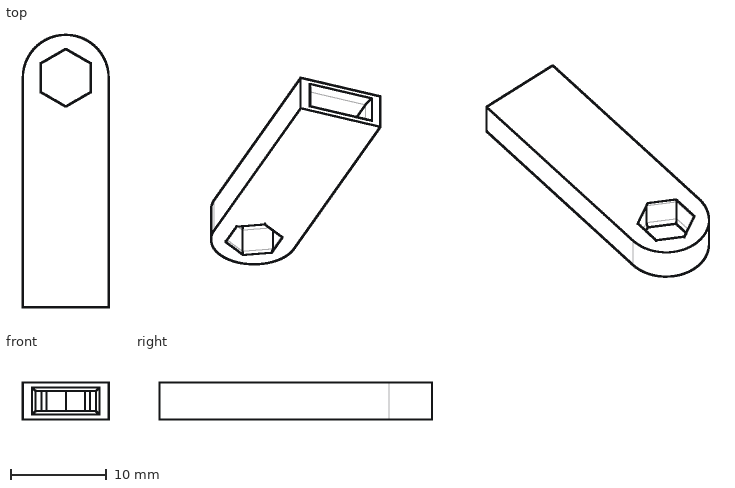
import cadquery as cq
import math

body_width = 9.0
straight_length = 24.0
thickness = 3.9
end_radius = body_width / 2
open_end_y = -straight_length
mid_z = thickness / 2

hex_mouth_radius = 3.0
hex_inner_radius = 3.2
hex_taper_depth = 0.6
hex_sides = 6
hex_turn = 180 / hex_sides

throat_width = 6.3
throat_height = 2.1
rim_inset = 0.05
rim_depth = 0.05
flare_inset = 0.33
flare_length = 0.8

hex_wall = 1.0
valley_x = 2.02
side_ridge_x = 2.53
zigzag_slope = math.tan(math.radians(hex_turn))


def hex_prism(radius, bottom_z, height):
    return (
        cq.Workplane("XY", origin=(0, 0, bottom_z))
        .polygon(hex_sides, 2 * radius)
        .extrude(height)
        .rotate((0, 0, 0), (0, 0, 1), hex_turn)
    )


def hex_taper(start_z, end_z):
    """Hexagonal frustum from a mouth at start_z to the wider inner hexagon at end_z."""
    return (
        cq.Workplane("XY", origin=(0, 0, start_z))
        .polygon(hex_sides, 2 * hex_mouth_radius)
        .workplane(offset=end_z - start_z)
        .polygon(hex_sides, 2 * hex_inner_radius)
        .loft(ruled=True)
        .rotate((0, 0, 0), (0, 0, 1), hex_turn)
    )


def make_body():
    return (
        cq.Workplane("XY")
        .moveTo(-end_radius, open_end_y)
        .lineTo(end_radius, open_end_y)
        .lineTo(end_radius, 0)
        .threePointArc((0, end_radius), (-end_radius, 0))
        .close()
        .extrude(thickness)
    )


def make_hex_hole():
    inner_height = thickness - 2 * hex_taper_depth
    hole = hex_prism(hex_inner_radius, hex_taper_depth, inner_height)
    hole = hole.union(hex_taper(0, hex_taper_depth))
    return hole.union(hex_taper(thickness, thickness - hex_taper_depth))


def flare_outline(plane, throat_half):
    """Outline of the mouth: a shallow bevelled rim, then arcs that run smoothly into the throat."""
    flare_half = throat_half + flare_inset
    mouth_half = flare_half + rim_inset
    flare_start_y = open_end_y + rim_depth
    flare_end_y = flare_start_y + flare_length
    flare_radius = (flare_length**2 + flare_inset**2) / (2 * flare_inset)
    half_angle = math.asin(flare_length / flare_radius) / 2
    middle_half = throat_half + flare_radius * (1 - math.cos(half_angle))
    middle_y = flare_end_y - flare_radius * math.sin(half_angle)
    return (
        cq.Workplane(plane)
        .moveTo(-mouth_half, open_end_y)
        .lineTo(mouth_half, open_end_y)
        .lineTo(flare_half, flare_start_y)
        .threePointArc((middle_half, middle_y), (throat_half, flare_end_y))
        .lineTo(-throat_half, flare_end_y)
        .threePointArc((-middle_half, middle_y), (-flare_half, flare_start_y))
        .close()
    )


def make_mouth():
    """The mouth flares alike on all four sides, so its corners are mitred."""
    across_width = flare_outline("XY", throat_width / 2).extrude(thickness)
    z_y_plane = cq.Plane(origin=(0, 0, mid_z), xDir=(0, 0, 1), normal=(-1, 0, 0))
    across_height = flare_outline(z_y_plane, throat_height / 2).extrude(end_radius, both=True)
    return across_width.intersect(across_height)


def make_cavity():
    half_width = throat_width / 2
    ridge_y = -(hex_inner_radius + hex_wall)
    valley_y = ridge_y + valley_x * zigzag_slope
    side_ridge_y = valley_y - (side_ridge_x - valley_x) * zigzag_slope
    corner_y = side_ridge_y + (half_width - side_ridge_x) * zigzag_slope
    flare_end_y = open_end_y + rim_depth + flare_length
    return (
        cq.Workplane("XY", origin=(0, 0, mid_z - throat_height / 2))
        .moveTo(0, flare_end_y)
        .lineTo(half_width, flare_end_y)
        .lineTo(half_width, corner_y)
        .lineTo(side_ridge_x, side_ridge_y)
        .lineTo(valley_x, valley_y)
        .lineTo(0, ridge_y)
        .mirrorY()
        .extrude(throat_height)
    )


result = make_body().cut(make_hex_hole()).cut(make_cavity()).cut(make_mouth())